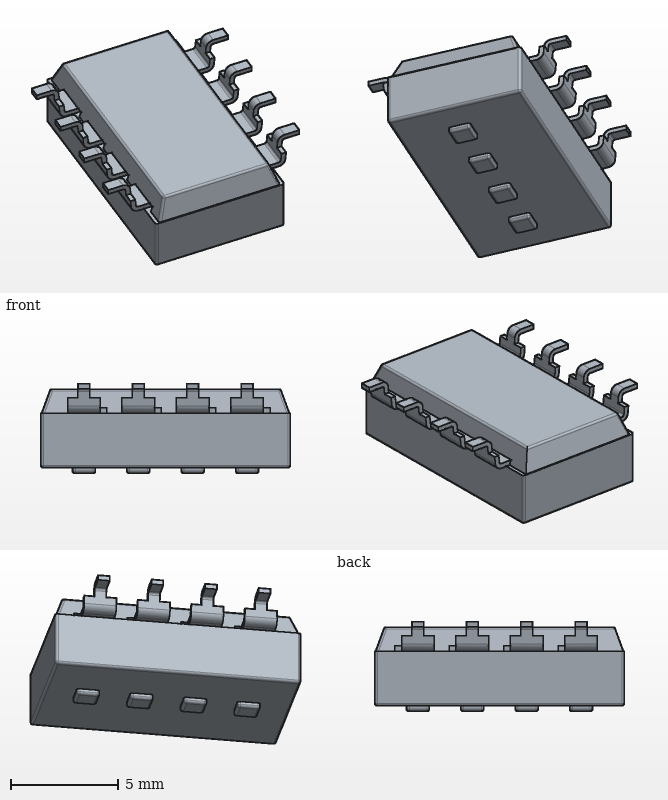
import cadquery as cq
import math


HOUSING_LENGTH = 11.63
HOUSING_WIDTH = 6.68
BASE_HEIGHT = 2.56
LID_HEIGHT = 1.12
LID_LENGTH = 11.54
LID_WIDTH = 6.28
LID_TAPER = 20.0
EDGE_RADIUS = 0.13

ACTUATOR_SIZE = 1.08
ACTUATOR_HEIGHT = 0.26
ACTUATOR_OFFSET_Y = 0.33

LEADS_PER_SIDE = 4
LEAD_PITCH = 2.54
LEAD_THICKNESS = 0.25
LEAD_TIP_Y = 4.95
LEAD_TOP_Z = 1.37
SHANK_WIDTH = 1.52
FOOT_WIDTH = 0.56
SHOULDER_Z = 0.72
WEB_LEAN = 5.0
INNER_BEND_RADIUS = 0.13
OUTER_BEND_RADIUS = INNER_BEND_RADIUS + LEAD_THICKNESS
LOWER_BEND_Y = 3.63

SLOT_SIDE_GAP = 0.31
SLOT_BACK_Y = 2.79

LEAD_POSITIONS = [
    (index - (LEADS_PER_SIDE - 1) / 2) * LEAD_PITCH for index in range(LEADS_PER_SIDE)
]
SIDES = (-1, 1)


def arc_point(center, radius, degrees):
    """Point at an angle on a circle, in the (Y, Z) plane of the lead profile."""
    angle = math.radians(degrees)
    return (center[0] + radius * math.cos(angle), center[1] + radius * math.sin(angle))


def make_base():
    """Block below the ledge, with rounded sides and underside."""
    return (
        cq.Workplane("XY")
        .rect(HOUSING_LENGTH, HOUSING_WIDTH)
        .extrude(-BASE_HEIGHT)
        .edges("|Z or <Z")
        .fillet(EDGE_RADIUS)
    )


def make_lid():
    """Tapered block above the ledge, rounded except for one sharp corner at -X, +Y."""
    return (
        cq.Workplane("XY")
        .rect(LID_LENGTH, LID_WIDTH)
        .extrude(LID_HEIGHT, taper=LID_TAPER)
        .edges("not(<Z or <(1,-1,0))")
        .fillet(EDGE_RADIUS)
    )


def make_actuator(x):
    """Small rounded block standing out below the base."""
    return (
        cq.Workplane("XY", origin=(x, ACTUATOR_OFFSET_Y, -BASE_HEIGHT))
        .rect(ACTUATOR_SIZE, ACTUATOR_SIZE)
        .extrude(-ACTUATOR_HEIGHT)
        .edges("|Z or <Z")
        .fillet(EDGE_RADIUS)
    )


def make_slot(x, side):
    """Volume of the slot that a lead enters, open towards the ledge."""
    slot_width = SHANK_WIDTH + SLOT_SIDE_GAP
    slot_depth = HOUSING_WIDTH / 2 - SLOT_BACK_Y
    center = (x + SLOT_SIDE_GAP / 2, side * (SLOT_BACK_Y + slot_depth / 2))
    return cq.Workplane("XY").center(*center).rect(slot_width, slot_depth).extrude(LEAD_THICKNESS)


def make_housing():
    """Base, lid and actuators as one moulded body, with a slot for each lead."""
    housing = make_base().union(make_lid())
    for x in LEAD_POSITIONS:
        housing = housing.union(make_actuator(x))
        for side in SIDES:
            housing = housing.cut(make_slot(x, side))
    return housing


def make_lead_blank():
    """Full-width gull-wing strip on the +Y side, centred on X = 0."""
    lean = math.radians(WEB_LEAN)
    lower_center = (LOWER_BEND_Y, OUTER_BEND_RADIUS)
    upper_center_z = LEAD_TOP_Z - OUTER_BEND_RADIUS
    radius_sum = INNER_BEND_RADIUS + OUTER_BEND_RADIUS
    web_rise = upper_center_z - lower_center[1] + radius_sum * math.sin(lean)
    upper_center_y = LOWER_BEND_Y + radius_sum * math.cos(lean) + web_rise * math.tan(lean)
    upper_center = (upper_center_y, upper_center_z)

    lower_end = -WEB_LEAN
    lower_mid = (lower_end - 90) / 2
    upper_start = 180 - WEB_LEAN
    upper_mid = (upper_start + 90) / 2

    return (
        cq.Workplane("YZ")
        .moveTo(SLOT_BACK_Y, 0)
        .lineTo(LOWER_BEND_Y, 0)
        .threePointArc(
            arc_point(lower_center, OUTER_BEND_RADIUS, lower_mid),
            arc_point(lower_center, OUTER_BEND_RADIUS, lower_end),
        )
        .lineTo(*arc_point(upper_center, INNER_BEND_RADIUS, upper_start))
        .threePointArc(
            arc_point(upper_center, INNER_BEND_RADIUS, upper_mid),
            arc_point(upper_center, INNER_BEND_RADIUS, 90),
        )
        .lineTo(LEAD_TIP_Y, LEAD_TOP_Z - LEAD_THICKNESS)
        .lineTo(LEAD_TIP_Y, LEAD_TOP_Z)
        .lineTo(upper_center_y, LEAD_TOP_Z)
        .threePointArc(
            arc_point(upper_center, OUTER_BEND_RADIUS, upper_mid),
            arc_point(upper_center, OUTER_BEND_RADIUS, upper_start),
        )
        .lineTo(*arc_point(lower_center, INNER_BEND_RADIUS, lower_end))
        .threePointArc(
            arc_point(lower_center, INNER_BEND_RADIUS, lower_mid),
            arc_point(lower_center, INNER_BEND_RADIUS, -90),
        )
        .lineTo(SLOT_BACK_Y, LEAD_THICKNESS)
        .close()
        .extrude(SHANK_WIDTH / 2, both=True)
    )


def make_lead(x, side):
    """Gull-wing lead: a wide shank up to the shoulder, then a narrow foot."""
    tee = (
        cq.Workplane("XZ")
        .moveTo(-SHANK_WIDTH / 2, 0)
        .lineTo(SHANK_WIDTH / 2, 0)
        .lineTo(SHANK_WIDTH / 2, SHOULDER_Z)
        .lineTo(FOOT_WIDTH / 2, SHOULDER_Z)
        .lineTo(FOOT_WIDTH / 2, LEAD_TOP_Z)
        .lineTo(-FOOT_WIDTH / 2, LEAD_TOP_Z)
        .lineTo(-FOOT_WIDTH / 2, SHOULDER_Z)
        .lineTo(-SHANK_WIDTH / 2, SHOULDER_Z)
        .close()
        .extrude(-LEAD_TIP_Y)
    )
    lead = make_lead_blank().intersect(tee)
    if side < 0:
        lead = lead.mirror("XZ")
    return lead.translate((x, 0, 0))


housing = make_housing()
leads = [make_lead(x, side) for side in SIDES for x in LEAD_POSITIONS]

result = cq.Compound.makeCompound([housing.val(), *[lead.val() for lead in leads]])